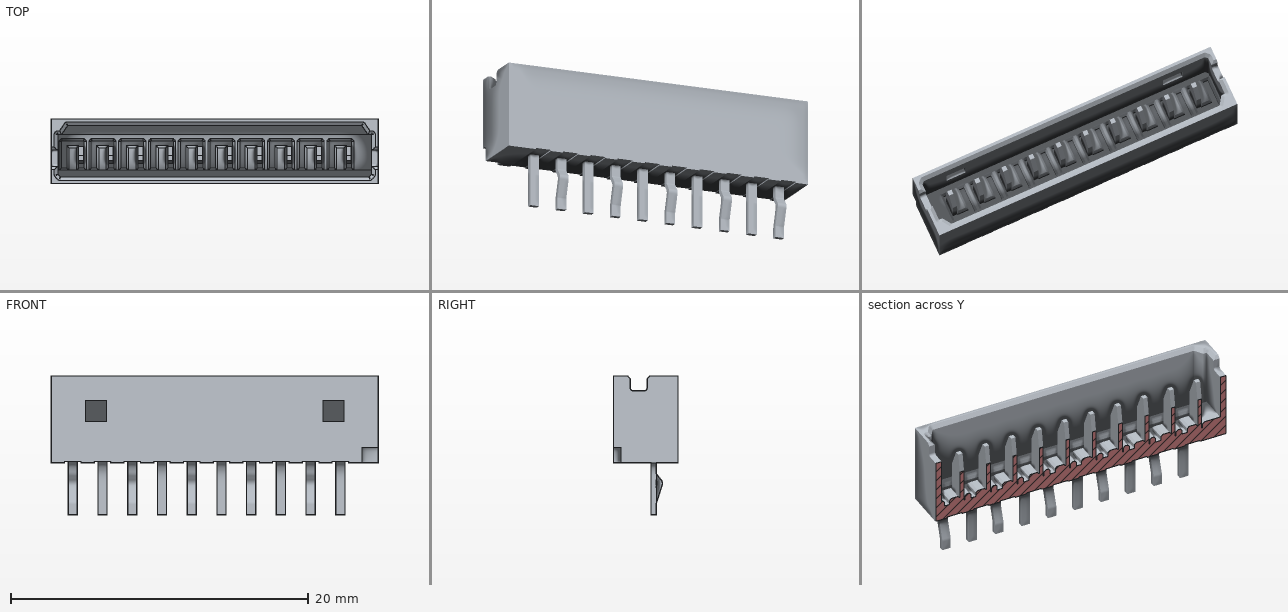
import cadquery as cq
LENGTH = 22.0
WIDTH = 4.35
HEIGHT = 5.85
PIN_REACH = 3.5

PIN_COUNT = 10
PITCH = 2.0
ROW_CENTRE_X = -0.55
PIN_WIDTH = 0.63
PIN_THICKNESS = 0.38
PIN_FRONT_Y = 0.34
PIN_BACK_Y = PIN_FRONT_Y + PIN_THICKNESS
PIN_ROOT_Z = 0.6
PIN_X = [ROW_CENTRE_X + (i - (PIN_COUNT - 1) / 2) * PITCH for i in range(PIN_COUNT)]

KINK_OFFSET = 0.45
KINK_TOP_Z = -0.75
KINK_CREST_Z = -1.32
KINK_BOTTOM_Z = -2.72
KINK_OUTER_RADIUS = 0.5
KINK_INNER_RADIUS = 0.15
KINK_CREST_RADIUS = 0.35

WALL = 0.45
LEAD_IN = 0.25
BACK_CORNER_X = 1.1
BACK_SHOULDER_X = 0.7
BACK_SHOULDER_Y = 1.05
FRONT_CORNER = 0.17

FLOOR_Z = 1.25
COMB_TOP_Z = 1.55
COMB_FRONT_Y = -WIDTH / 2 + 0.9
COMB_BACK_Y = WIDTH / 2 - BACK_SHOULDER_Y
GROOVE_WIDTH = 1.82
GROOVE_BACK_Y = WIDTH / 2 - 1.33
GROOVE_FLOOR_Z = 1.1
GROOVE_MOUTH = 0.15
TONGUE_TOP_WIDTH = 0.5
TONGUE_TOP_BACK_Y = WIDTH / 2 - 1.95

BLADE_THICKNESS = 0.32
BLADE_OFFSET_X = 0.56
BLADE_TOP_Z = 4.8
BLADE_BACK_Y = WIDTH / 2 - 1.86
BLADE_TIP_BACK_Y = WIDTH / 2 - 2.46
BLADE_TIP_FRONT_Y = WIDTH / 2 - 2.78
BLADE_FRONT_Y = WIDTH / 2 - 2.99
BLADE_TIP_HEIGHT = 1.3

NOTCH_BACK_Y = WIDTH / 2 - 2.09
NOTCH_WIDTH = 1.12
NOTCH_DEPTH = 1.0
NOTCH_TOP_CHAMFER = 0.2
NOTCH_FLOOR_RADIUS = 0.18

WINDOW_SIZE = 1.42
WINDOW_CENTRE_X = 8.0
WINDOW_BOTTOM_Z = 2.77

RELIEF_WIDTH = 1.1
RELIEF_DEPTH = 0.08
MARK_WIDTH = 1.1
MARK_HEIGHT = 1.03
MARK_DEPTH = 0.5


def block(x_min, x_max, y_min, y_max, z_min, z_max):
    """Axis-aligned box between the given limits."""
    size = (x_max - x_min, y_max - y_min, z_max - z_min)
    return cq.Workplane("XY").box(*size, centered=False).translate((x_min, y_min, z_min))


def cavity():
    """Keyed cavity outline, with a 45 degree lead-in at the rim."""
    half_x = LENGTH / 2
    half_y = WIDTH / 2
    side = half_x - WALL
    front = -half_y + WALL
    shoulder_y = half_y - BACK_SHOULDER_Y
    right_half = [
        (side - FRONT_CORNER, front),
        (side, front + FRONT_CORNER),
        (side, shoulder_y),
        (half_x - BACK_SHOULDER_X, shoulder_y),
        (half_x - BACK_CORNER_X, half_y - WALL),
    ]
    left_half = [(-x, y) for x, y in reversed(right_half)]
    outline = right_half + left_half
    straight = cq.Workplane("XY").workplane(offset=FLOOR_Z).polyline(outline).close()
    lead_in = cq.Workplane("XY").workplane(offset=HEIGHT - LEAD_IN).polyline(outline).close()
    return straight.extrude(HEIGHT - FLOOR_Z).union(lead_in.extrude(LEAD_IN, taper=-45))


def end_notches():
    """Notch with chamfered mouth and rounded floor corners, cut along X through both end walls."""
    back = NOTCH_BACK_Y
    front = NOTCH_BACK_Y - NOTCH_WIDTH
    floor = HEIGHT - NOTCH_DEPTH
    shoulder = HEIGHT - NOTCH_TOP_CHAMFER
    outline = [
        (back + NOTCH_TOP_CHAMFER, HEIGHT),
        (back, shoulder),
        (back, floor),
        (front, floor),
        (front, shoulder),
        (front - NOTCH_TOP_CHAMFER, HEIGHT),
    ]
    notch = cq.Workplane("YZ").polyline(outline).close().extrude(LENGTH / 2, both=True)
    return notch.edges("|X and <Z").fillet(NOTCH_FLOOR_RADIUS)


def u_groove(x):
    """U-shaped groove open toward -Y, leaving a tongue; all mouth edges are chamfered at 45 degrees."""
    half = GROOVE_WIDTH / 2
    outline = [
        (-half, COMB_FRONT_Y),
        (half, COMB_FRONT_Y),
        (half, GROOVE_BACK_Y - GROOVE_MOUTH),
        (half - GROOVE_MOUTH, GROOVE_BACK_Y),
        (-half + GROOVE_MOUTH, GROOVE_BACK_Y),
        (-half, GROOVE_BACK_Y - GROOVE_MOUTH),
    ]
    mouth = cq.Workplane("XY", origin=(x, 0, COMB_TOP_Z)).polyline(outline).close()
    inner_half = half - GROOVE_MOUTH
    well = block(
        x - inner_half, x + inner_half,
        COMB_FRONT_Y + GROOVE_MOUTH, GROOVE_BACK_Y - GROOVE_MOUTH,
        GROOVE_FLOOR_Z, COMB_TOP_Z,
    )
    return mouth.extrude(-GROOVE_MOUTH, taper=45).union(well).cut(tongue(x))


def tongue(x):
    """Tongue inside a groove, flush with the comb top and chamfered on three sides."""
    top_half = TONGUE_TOP_WIDTH / 2
    base_half = top_half + GROOVE_MOUTH
    base_back = TONGUE_TOP_BACK_Y + GROOVE_MOUTH
    shoulder_z = COMB_TOP_Z - GROOVE_MOUTH
    base = block(x - base_half, x + base_half, COMB_FRONT_Y, base_back, GROOVE_FLOOR_Z, COMB_TOP_Z)
    front_overrun = COMB_FRONT_Y - GROOVE_MOUTH
    top = cq.Workplane("XY", origin=(x, (front_overrun + base_back) / 2, shoulder_z))
    top = top.rect(2 * base_half, base_back - front_overrun).extrude(GROOVE_MOUTH, taper=45)
    lower = block(x - base_half, x + base_half, COMB_FRONT_Y, base_back, GROOVE_FLOOR_Z, shoulder_z)
    return lower.union(top.intersect(base))


def contact_blade(x):
    """Upright blade narrowing toward its tip, more steeply at the front than at the back."""
    shoulder_z = BLADE_TOP_Z - BLADE_TIP_HEIGHT
    outline = [
        (BLADE_FRONT_Y, PIN_ROOT_Z),
        (BLADE_FRONT_Y, shoulder_z),
        (BLADE_TIP_FRONT_Y, BLADE_TOP_Z),
        (BLADE_TIP_BACK_Y, BLADE_TOP_Z),
        (BLADE_BACK_Y, shoulder_z),
        (BLADE_BACK_Y, PIN_ROOT_Z),
    ]
    blade = cq.Workplane("YZ").polyline(outline).close().extrude(BLADE_THICKNESS / 2, both=True)
    return blade.translate((x + BLADE_OFFSET_X, 0, 0))


def straight_pin_tail():
    """Straight solder tail at X = 0, rooted in the housing floor."""
    half = PIN_WIDTH / 2
    return block(-half, half, PIN_FRONT_Y, PIN_BACK_Y, -PIN_REACH, PIN_ROOT_Z)


def kinked_pin_tail():
    """Solder tail at X = 0 with a rounded kink toward +Y."""
    path = [
        (0, PIN_ROOT_Z),
        (0, KINK_TOP_Z),
        (KINK_OFFSET, KINK_CREST_Z),
        (0, KINK_BOTTOM_Z),
        (0, -PIN_REACH),
    ]
    front_side = [(PIN_FRONT_Y + offset, z) for offset, z in path]
    back_side = [(PIN_BACK_Y + offset, z) for offset, z in reversed(path)]
    outline = cq.Workplane("YZ").polyline(front_side + back_side).close()
    tail = outline.extrude(PIN_WIDTH / 2, both=True)
    bends = [
        (PIN_FRONT_Y, KINK_TOP_Z, KINK_OUTER_RADIUS),
        (PIN_BACK_Y, KINK_TOP_Z, KINK_INNER_RADIUS),
        (PIN_FRONT_Y + KINK_OFFSET, KINK_CREST_Z, KINK_CREST_RADIUS),
        (PIN_BACK_Y + KINK_OFFSET, KINK_CREST_Z, KINK_CREST_RADIUS),
        (PIN_FRONT_Y, KINK_BOTTOM_Z, KINK_OUTER_RADIUS),
        (PIN_BACK_Y, KINK_BOTTOM_Z, KINK_INNER_RADIUS),
    ]
    for y, z, radius in bends:
        tail = tail.edges("|X").edges(cq.NearestToPointSelector((0, y, z))).fillet(radius)
    return tail


def window(x):
    """Square locking window through the front wall."""
    half = WINDOW_SIZE / 2
    front = -WIDTH / 2
    top = WINDOW_BOTTOM_Z + WINDOW_SIZE
    return block(x - half, x + half, front, front + WALL, WINDOW_BOTTOM_Z, top)


def pin_one_mark():
    """Rectangular step at the lower +X end of the front face."""
    right = LENGTH / 2
    front = -WIDTH / 2
    return block(right - MARK_WIDTH, right, front, front + MARK_DEPTH, 0, MARK_HEIGHT)


def underside_relief(x):
    """Shallow channel across the underside around one pin."""
    half = RELIEF_WIDTH / 2
    return block(x - half, x + half, -WIDTH / 2, WIDTH / 2, 0, RELIEF_DEPTH)


housing = block(-LENGTH / 2, LENGTH / 2, -WIDTH / 2, WIDTH / 2, 0, HEIGHT)
housing = housing.cut(cavity()).cut(end_notches())

comb_half = LENGTH / 2 - WALL
comb = block(-comb_half, comb_half, COMB_FRONT_Y, COMB_BACK_Y, FLOOR_Z, COMB_TOP_Z)
housing = housing.union(comb).cut(pin_one_mark())
for side in (-1, 1):
    housing = housing.cut(window(side * WINDOW_CENTRE_X))
for pin_x in PIN_X:
    housing = housing.cut(u_groove(pin_x)).cut(underside_relief(pin_x))

straight_tail = straight_pin_tail()
kinked_tail = kinked_pin_tail()
result = housing
for index, pin_x in enumerate(PIN_X):
    tail = kinked_tail if index % 2 == 0 else straight_tail
    result = result.union(contact_blade(pin_x)).union(tail.translate((pin_x, 0, 0)))